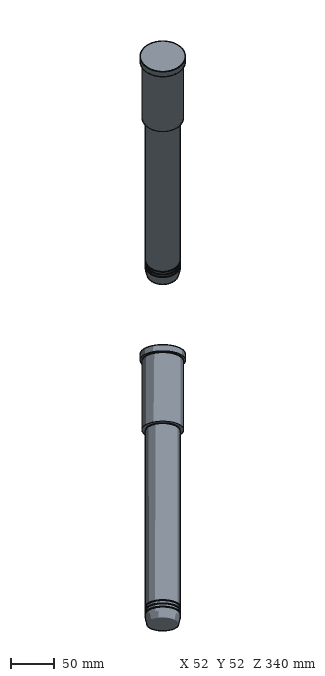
import cadquery as cq

total_length = 340.0
head_diameter = 52.0
head_height = 8.0
head_chamfer = 0.5
sleeve_diameter = 48.0
sleeve_end_depth = 95.5
shaft_diameter = 40.0

tip_diameter = 36.5
tip_height = 8.0
tip_fillet = 0.7

groove_count = 3
groove_pitch = 4.0
groove_width = 1.0
groove_depth = 0.5
first_groove_base = 13.0


def cylinder(diameter, bottom, top):
    return cq.Workplane("XY").workplane(offset=bottom).circle(diameter / 2).extrude(top - bottom)


def make_tip():
    """Tapered nose with a small rounding around its flat end."""
    shaft_radius = shaft_diameter / 2
    tip_radius = tip_diameter / 2
    return (
        cq.Workplane("XZ")
        .moveTo(0, 0)
        .lineTo(tip_radius, 0)
        .lineTo(shaft_radius, tip_height)
        .lineTo(0, tip_height)
        .close()
        .revolve(360, (0, 0, 0), (0, 1, 0))
        .faces("<Z")
        .edges()
        .fillet(tip_fillet)
    )


def make_groove(diameter, base):
    """Ring that cuts a shallow groove into a cylinder of the given diameter."""
    outer = cylinder(diameter, base, base + groove_width)
    core = cylinder(diameter - 2 * groove_depth, base, base + groove_width)
    return outer.cut(core)


head_base = total_length - head_height
sleeve_base = total_length - sleeve_end_depth

head = cylinder(head_diameter, head_base, total_length).faces(">Z").edges().chamfer(head_chamfer)
sleeve = cylinder(sleeve_diameter, sleeve_base, head_base)
shaft = cylinder(shaft_diameter, tip_height, sleeve_base)

result = make_tip().union(shaft).union(sleeve).union(head)

for index in range(groove_count):
    result = result.cut(make_groove(shaft_diameter, first_groove_base + index * groove_pitch))

for diameter, shoulder in ((sleeve_diameter, head_base), (shaft_diameter, sleeve_base)):
    result = result.cut(make_groove(diameter, shoulder - groove_width))